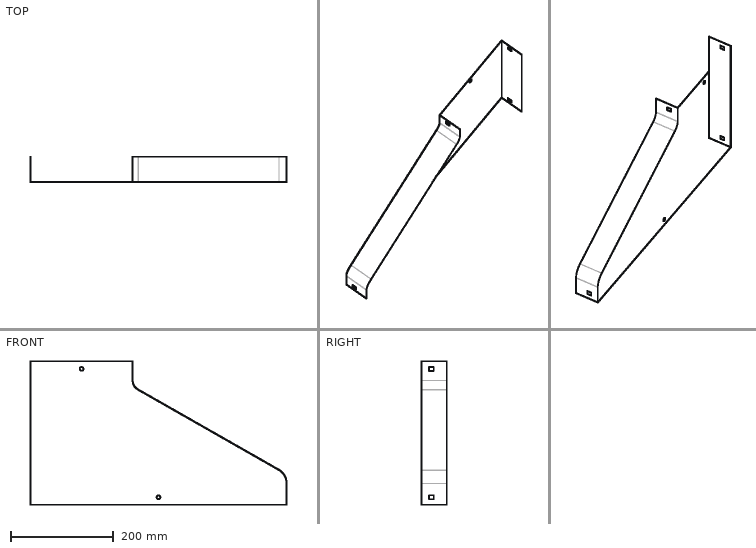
import cadquery as cq

length = 500.0
depth = 50.0
height = 280.0
sheet = 0.8

shoulder_x = 200.0
slope_top_z = 231.0
nose_z = 60.0
shoulder_radius = 20.0
nose_radius = 30.0

hole_inset = 15.0
plate_hole_diameter = 7.0
plate_hole_centers = [
    (shoulder_x / 2, height - hole_inset),
    (length / 2, hole_inset),
]
flange_hole_width = 9.0
flange_hole_height = 7.5
flange_hole_y = 20.0


def make_blank():
    """Full-depth solid with the side outline and rounded slope ends."""
    outline = [
        (0, 0),
        (length, 0),
        (length, nose_z),
        (shoulder_x, slope_top_z),
        (shoulder_x, height),
        (0, height),
    ]
    blank = cq.Workplane("XZ").polyline(outline).close().extrude(-depth)

    def corner_edge(x, z):
        return cq.selectors.NearestToPointSelector((x, depth / 2, z))

    blank = blank.edges("|Y").edges(corner_edge(shoulder_x, slope_top_z)).fillet(shoulder_radius)
    return blank.edges("|Y").edges(corner_edge(length, nose_z)).fillet(nose_radius)


def make_bracket():
    """Front plate with a rear flange and a flange along shoulder, slope and nose."""
    return make_blank().faces(">Y or <Z or >Z").shell(-sheet)


def cut_plate_holes(body):
    """Round holes through the front plate."""
    holes = (
        cq.Workplane("XZ")
        .pushPoints(plate_hole_centers)
        .circle(plate_hole_diameter / 2)
        .extrude(-sheet)
    )
    return body.cut(holes)


def cut_flange_holes(body):
    """Rectangular holes, in line along X through every upright flange."""
    holes = (
        cq.Workplane("YZ")
        .pushPoints([(flange_hole_y, hole_inset), (flange_hole_y, height - hole_inset)])
        .rect(flange_hole_width, flange_hole_height)
        .extrude(length)
    )
    return body.cut(holes)


result = cut_flange_holes(cut_plate_holes(make_bracket()))